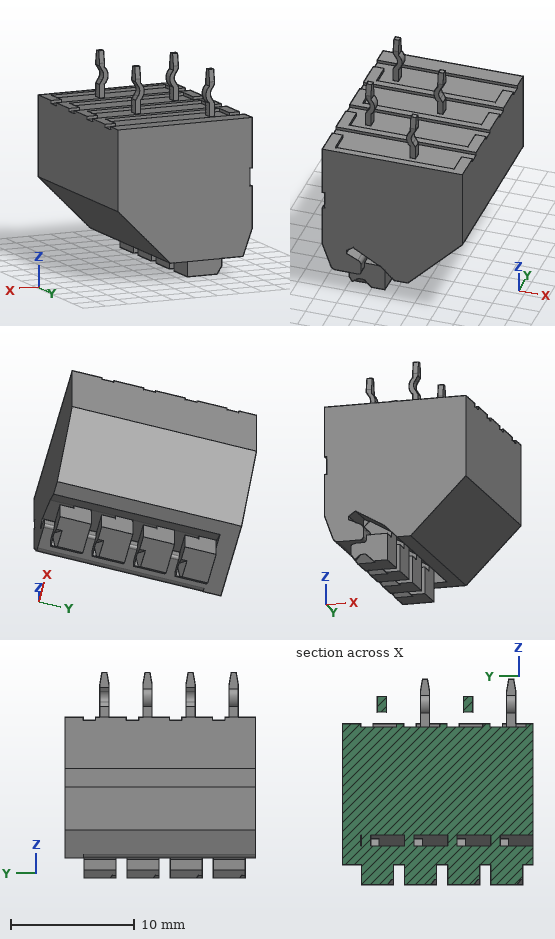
import cadquery as cq


poles = 4
length = 15.5
end_wall = 1.5
depth = 12.0
height = 11.45
poles_length = length - end_wall
pitch = poles_length / poles

back_bevel = 4.68
front_bevel_depth = 0.84
front_bevel_height = 2.29
lip_edge_radius = 0.45

face_groove_depth = 0.2
face_groove_top = height - 4.2
face_groove_height = 1.49

recess_depth = 0.25
recess_side_margin = 0.92
recess_start = 0.6
cross_groove_width = 0.99

lip_wall_x = 3.32
lip_corner_height = 1.2
lip_corner_radius = 0.47
lip_foot_radius = 0.25
slot_tip_x = 2.07
slot_tip_low = 1.8
slot_tip_high = 2.05
slot_peak = (2.64, 2.47)
slot_roof_end = (5.1, 1.05)
slot_mouth_x = 6.16

button_start = 0.84
button_width = 2.62
button_front_x = 2.02
button_back_x = slot_roof_end[0]
button_bottom = -1.62
button_ledge = 0.62
button_shoulder_drop = 0.12
button_shoulder_run = 0.42
button_bevel_run = 0.42
button_bevel_height = 0.65

ledge_length = 1.17
stem_step_length = 0.67
stem_slant_top = (3.2, 2.09)
stem_slant_bottom = (2.49, 1.37)
stem_back_x = 2.5

notch_height = 0.63
notch_depth = 0.48
notch_top_front_x = 2.84
notch_top_back_x = 3.25
notch_bottom_front_x = 2.04
notch_bottom_back_x = 3.92

pin_front_x = 2.07
pin_spacing = 5.0
pin_thickness = 0.45
pin_width = 0.77
pin_tip_width = 0.42
pin_taper = 1.0
pin_height = 3.62
pin_center = 1.79
bend_start = 0.87
bend_end = 2.4
bend_arc_start = 1.22
bend_arc_end = 2.05
bend_arc_offset = 0.22
inner_crown = 0.37
outer_crown = 0.32
outer_bend_end = 2.27


def extrude_y(profile, start, distance):
    """Extrude a closed XZ profile towards +Y from the given Y."""
    return profile.extrude(-distance).translate((0, start, 0))


def polygon_y(points, start, distance):
    return extrude_y(cq.Workplane("XZ").polyline(points).close(), start, distance)


def box(x, y, z, size_x, size_y, size_z):
    return cq.Workplane("XY").box(size_x, size_y, size_z, centered=False).translate((x, y, z))


def housing_block(start, distance):
    outline = [
        (front_bevel_depth, 0),
        (depth - back_bevel, 0),
        (depth, back_bevel),
        (depth, height),
        (0, height),
        (0, front_bevel_height),
    ]
    return polygon_y(outline, start, distance)


def slot_prism():
    outline = [
        (lip_wall_x, 0),
        (lip_wall_x, lip_corner_height),
        (slot_tip_x, slot_tip_low),
        (slot_tip_x, slot_tip_high),
        slot_peak,
        slot_roof_end,
        (slot_mouth_x, 0),
    ]
    corner = cq.selectors.NearestToPointSelector((lip_wall_x, poles_length / 2, lip_corner_height))
    return polygon_y(outline, 0, poles_length).edges(corner).fillet(lip_corner_radius)


def make_housing(slot):
    lip_edge = cq.selectors.NearestToPointSelector((front_bevel_depth, poles_length / 2, 0))
    body = housing_block(0, poles_length).edges(lip_edge).fillet(lip_edge_radius)
    body = body.cut(slot)
    lip_foot = cq.selectors.NearestToPointSelector((lip_wall_x, poles_length / 2, 0))
    body = body.edges(lip_foot).fillet(lip_foot_radius)
    body = body.union(housing_block(poles_length, end_wall))
    groove_bottom = face_groove_top - face_groove_height
    return body.cut(box(0, 0, groove_bottom, face_groove_depth, length, face_groove_height))


def top_recess(pole_start):
    floor = height - recess_depth
    panel_width = depth - 2 * recess_side_margin
    panel = box(recess_side_margin, pole_start + recess_start, floor,
                panel_width, pitch - recess_start, recess_depth)
    groove = box(0, pole_start + pitch - cross_groove_width, floor,
                 depth, cross_groove_width, recess_depth)
    return panel.union(groove)


def tool_notch(start):
    wedge = (
        cq.Workplane("YZ")
        .polyline([
            (start, button_bottom),
            (start + notch_depth, button_bottom),
            (start, button_bottom + notch_height),
        ])
        .close()
        .extrude(depth)
    )
    sides = polygon_y([
        (notch_bottom_front_x, button_bottom),
        (notch_top_front_x, button_bottom + notch_height),
        (notch_top_back_x, button_bottom + notch_height),
        (notch_bottom_back_x, button_bottom),
    ], start, notch_depth)
    return wedge.intersect(sides)


def button_stem(start, slot):
    slanted_start = start + ledge_length
    wide_start = slanted_start + stem_step_length
    wide_length = button_width - ledge_length - stem_step_length
    slanted = polygon_y([
        stem_slant_bottom,
        stem_slant_top,
        (stem_slant_top[0], height),
        (button_back_x, height),
        (button_back_x, 0),
        (stem_slant_bottom[0], 0),
    ], slanted_start, stem_step_length)
    wide = box(stem_back_x, wide_start, 0, button_back_x - stem_back_x, wide_length, height)
    return slot.intersect(slanted.union(wide))


def make_button(pole_start, slot):
    start = pole_start + button_start
    neck_front_x = lip_wall_x - lip_foot_radius
    outline = [
        (button_front_x, -button_shoulder_drop),
        (button_front_x + button_shoulder_run, 0),
        (neck_front_x, 0),
        (neck_front_x, button_ledge),
        (button_back_x, button_ledge),
        (button_back_x, button_bottom),
        (button_front_x + button_bevel_run, button_bottom),
        (button_front_x, button_bottom + button_bevel_height),
    ]
    button = polygon_y(outline, start, button_width)
    return button.union(button_stem(start, slot)).cut(tool_notch(start))


def make_pin(pole_start, at_back):
    """Strip with a crimped bend; the back pin is turned so both bends face each other."""
    inner_middle = (bend_arc_start + bend_arc_end) / 2
    outer_middle = (bend_start + outer_bend_end) / 2
    side = (
        cq.Workplane("XZ")
        .moveTo(0, -recess_depth)
        .lineTo(0, bend_start)
        .lineTo(bend_arc_offset, bend_arc_start)
        .threePointArc((inner_crown, inner_middle), (bend_arc_offset, bend_arc_end))
        .lineTo(0, bend_end)
        .lineTo(0, pin_height)
        .lineTo(pin_thickness, pin_height)
        .lineTo(pin_thickness, outer_bend_end)
        .threePointArc((pin_thickness + outer_crown, outer_middle), (pin_thickness, bend_start))
        .lineTo(pin_thickness, -recess_depth)
        .close()
    )
    strip = extrude_y(side, -pin_width / 2, pin_width)
    taper_start = pin_height - pin_taper
    blade = (
        cq.Workplane("YZ")
        .polyline([
            (-pin_width / 2, -recess_depth),
            (pin_width / 2, -recess_depth),
            (pin_width / 2, taper_start),
            (pin_tip_width / 2, pin_height),
            (-pin_tip_width / 2, pin_height),
            (-pin_width / 2, taper_start),
        ])
        .close()
        .extrude(pin_thickness + outer_crown)
    )
    pin = strip.intersect(blade)
    x = pin_front_x
    if at_back:
        pin = pin.mirror("YZ")
        x = pin_front_x + pin_spacing + pin_thickness
    return pin.translate((x, pole_start + pin_center, height))


slot = slot_prism()
result = make_housing(slot)
for pole in range(poles):
    pole_start = pole * pitch
    result = result.cut(top_recess(pole_start))
    result = result.union(make_button(pole_start, slot))
    result = result.union(make_pin(pole_start, at_back=pole % 2 == 0))